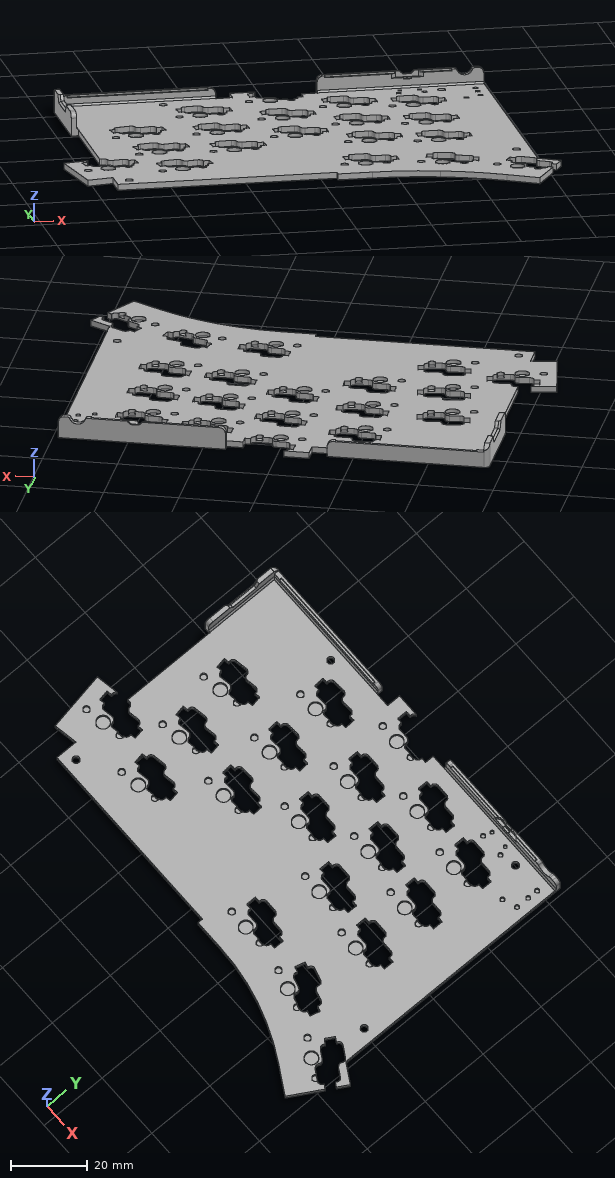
import cadquery as cq
import math

overall_length = 128.3
plate_thickness = 1.7
plate_left, plate_right = -54.2, 58.6
plate_front, plate_back = -31.8, 43.2

key_pitch = 17.0
cell_half_width = 9.1
cell_half_depth = 8.7
rows_per_column = 3

column_middles = [
    (-37.5, -3.8, 10.0),
    (-19.0, 11.4, 4.0),
    (0.5, 21.7, 0.0),
    (18.6, 13.2, 0.0),
    (36.6, 10.4, 0.0),
]

thumb_straight = (13.5, -24.6, 0.0)
thumb_middle = (33.5, -27.3, -15.0)
thumb_outer = (52.0, -35.0, -30.0)

blind_depth = 1.0
stem_diameter = 3.8
pin_diameter = 1.9
pin_offset = 5.6

socket_centre = (2.3, 4.6)
lobe_depth = 6.0
lobe_shift_y = 1.2
lobe_outer = 5.4
lobe_inner = 0.4
lobe_corner = 1.13
slot_reach = 6.9
slot_depth = 3.0

mount_diameter = 2.0
mount_points = [(-27.7, 40.0), (46.6, 40.0), (54.8, -19.2), (-50.4, -28.4)]
small_pin_diameter = 1.0
small_pin_points = [(35.7, 41.3), (40.9, 41.3)]
medium_pin_diameter = 1.3
medium_pin_points = [
    (34.9, 38.9),
    (41.8, 38.9),
    (55.5, 39.8),
    (55.5, 36.7),
    (55.5, 32.8),
    (51.5, 31.3),
]

wall_thickness = 1.4
foot = 0.5
wall_end_radius = 1.5
corner_radius = 1.3
corner_slope = 1.5
lip_thickness = 0.8
rebate_depth = 0.5
rebate_inset = 2.0
wall_left = plate_left - foot - wall_thickness
wall_back = plate_back + foot + wall_thickness

side_height = 6.4
side_front = 21.0
side_notch_back, side_notch_front = 38.5, 28.4
side_notch_slope = 1.0
side_notch_floor = 4.9
side_notch_bevel = 0.5

low_height = 4.4
low_right = -13.0

high_height = 6.0
high_left = 14.1
cable_notch_x = 53.5
cable_notch_diameter = 4.4
cable_notch_round = 0.6
cable_notch_floor = 4.2
rebate_right = 50.0
recess_left, recess_right = 34.0, 42.5
recess_floor = 4.4
recess_taper = 1.2
recess_lip = 0.5
vee_x = 38.2
vee_top_half, vee_floor_half = 2.0, 1.0
vee_depth = 0.9
dip_depth = 0.4


def in_cell(key, u, v):
    """Point (u, v) of a key's own frame, in plate coordinates."""
    x, y, turn = key
    angle = math.radians(turn)
    return (
        x + u * math.cos(angle) - v * math.sin(angle),
        y + u * math.sin(angle) + v * math.cos(angle),
    )


def column_keys(middle):
    """The keys of one column, from back to front."""
    turn = middle[2]
    steps = [(rows_per_column - 1) / 2 - row for row in range(rows_per_column)]
    return [in_cell(middle, 0, step * key_pitch) + (turn,) for step in steps]


def box(x0, x1, y0, y1, z0, z1):
    return cq.Workplane("XY").box(x1 - x0, y1 - y0, z1 - z0, centered=False).translate((x0, y0, z0))


def place(solid, key):
    x, y, turn = key
    return solid.rotate((0, 0, 0), (0, 0, 1), turn).translate((x, y, 0))


pinky_turn = column_middles[0][2]
right_end = in_cell(thumb_outer, cell_half_width, cell_half_depth)[0]
tab_reach = in_cell((0, 0, pinky_turn), -cell_half_width, cell_half_depth)[0]
pinky_outer = (right_end - overall_length - tab_reach, -16.3, pinky_turn)

column_key_list = [key for middle in column_middles for key in column_keys(middle)]
thumb_keys = [thumb_straight, thumb_middle, thumb_outer]
keys = column_key_list + thumb_keys + [pinky_outer]
back_key = column_keys(column_middles[2])[0]


def make_plate():
    plate = box(plate_left, plate_right, plate_front, plate_back, 0, plate_thickness)

    pinky_tab = box(-cell_half_width, 0, -cell_half_depth, cell_half_depth, 0, plate_thickness)
    pinky_tab = pinky_tab.union(pinky_tab.translate((cell_half_width / 2, 0, 0)))
    plate = plate.union(place(pinky_tab, pinky_outer))

    back_tab = box(-cell_half_width, 0, 0, cell_half_depth, 0, plate_thickness)
    plate = plate.union(place(back_tab, back_key))

    fan = (
        cq.Workplane("XY")
        .moveTo(*in_cell(thumb_straight, -cell_half_width, 0))
        .lineTo(*in_cell(thumb_straight, -cell_half_width, -cell_half_depth))
        .lineTo(*in_cell(thumb_straight, 0, -cell_half_depth))
        .tangentArcPoint(in_cell(thumb_middle, 0, -cell_half_depth), relative=False)
        .tangentArcPoint(in_cell(thumb_outer, 0, -cell_half_depth), relative=False)
        .lineTo(*in_cell(thumb_outer, cell_half_width, -cell_half_depth))
        .lineTo(*in_cell(thumb_outer, cell_half_width, cell_half_depth))
        .lineTo(*in_cell(thumb_outer, 0, cell_half_depth))
        .close()
        .extrude(plate_thickness)
    )
    return plate.union(fan)


def make_socket():
    """Opening for one switch socket, centred on the switch."""
    half = lobe_depth / 2
    left = box(-lobe_outer, lobe_inner, lobe_shift_y - half, lobe_shift_y + half, 0, plate_thickness)
    right = left.rotate((0, 0, 0), (0, 0, 1), 180)
    lobes = left.union(right).edges("|Z").fillet(lobe_corner)
    slot = box(-slot_reach, 0, lobe_shift_y - slot_depth / 2, lobe_shift_y + slot_depth / 2, 0, plate_thickness)
    slots = slot.union(slot.rotate((0, 0, 0), (0, 0, 1), 180))
    return lobes.union(slots).translate((socket_centre[0], socket_centre[1], 0))


def holes(points, diameter, depth):
    """Cylinders sunk from the plate's top face."""
    plane = cq.Workplane("XY").workplane(offset=plate_thickness)
    return plane.pushPoints(points).circle(diameter / 2).extrude(-depth)


def cut_keys(plate):
    socket = make_socket()
    for key in keys:
        plate = plate.cut(place(socket, key))
    stems = [in_cell(key, 0, 0) for key in keys]
    pins = [in_cell(key, side * pin_offset, 0) for key in keys for side in (-1, 1)]
    plate = plate.cut(holes(stems, stem_diameter, blind_depth))
    return plate.cut(holes(pins, pin_diameter, blind_depth))


def prism_along_x(points, x0, x1):
    """Solid with a (y, z) profile, running from x0 to x1."""
    return cq.Workplane("YZ").polyline(points).close().extrude(x1 - x0).translate((x0, 0, 0))


def foot_profile(plate_edge):
    """Foot between the plate's edge and a wall standing at a larger coordinate."""
    return [
        (plate_edge, 0),
        (plate_edge + foot, 0),
        (plate_edge + foot, plate_thickness + foot),
        (plate_edge, plate_thickness),
    ]


def make_side_wall():
    inner_face = wall_left + wall_thickness
    wall = box(wall_left, inner_face, side_front, wall_back, 0, side_height)
    wall = wall.edges("|X and >Z and <Y").fillet(wall_end_radius)
    wall = wall.edges("|Z and <X and >Y").fillet(corner_radius)

    slope = [
        (wall_back - corner_slope, side_height),
        (wall_back, side_height),
        (wall_back, side_height - corner_slope),
    ]
    wall = wall.cut(prism_along_x(slope, wall_left, inner_face))

    notch = [
        (side_notch_back, side_height),
        (side_notch_back - side_notch_slope, side_notch_floor),
        (side_notch_front + side_notch_slope, side_notch_floor),
        (side_notch_front, side_height),
    ]
    wall = wall.cut(prism_along_x(notch, wall_left, inner_face))
    notch_rim = cq.selectors.BoxSelector(
        (wall_left - lip_thickness, side_notch_front, side_notch_floor - rebate_depth),
        (wall_left + lip_thickness, side_notch_back, side_height - rebate_depth),
    )
    wall = wall.faces("<X").edges(notch_rim).chamfer(side_notch_bevel)

    strip = prism_along_x(foot_profile(-plate_left), side_front, plate_back + foot)
    return wall.union(strip.rotate((0, 0, 0), (0, 0, 1), 90))


def cut_rebate(wall, x0, x1, floor):
    """Lower the inner part of a back wall's top, leaving a lip along the outer face."""
    inner_face = wall_back - wall_thickness
    return wall.cut(box(x0, x1, inner_face, wall_back - lip_thickness, floor, side_height))


def make_low_wall():
    inner_face = wall_back - wall_thickness
    left = plate_left - foot
    wall = box(left, low_right, inner_face, wall_back, 0, low_height)
    wall = wall.edges("|Y and >Z and >X").fillet(wall_end_radius)
    wall = cut_rebate(wall, left + rebate_inset, low_right - rebate_inset, low_height - rebate_depth)
    return wall.union(prism_along_x(foot_profile(plate_back), left, low_right))


def cut_through_back(points):
    """Solid with an (x, z) profile, deep enough to cut through a back wall."""
    return cq.Workplane("XZ").polyline(points).close().extrude(-wall_thickness).translate(
        (0, wall_back - wall_thickness, 0)
    )


def make_high_wall():
    inner_face = wall_back - wall_thickness
    wall = box(high_left, plate_right, inner_face, wall_back, 0, high_height)
    wall = wall.edges("|Y and >Z").fillet(wall_end_radius)
    wall = cut_rebate(wall, high_left + rebate_inset, rebate_right, high_height - rebate_depth)

    recess = [
        (recess_left, inner_face),
        (recess_right, inner_face),
        (recess_right - recess_taper, wall_back - recess_lip),
        (recess_left + recess_taper, wall_back - recess_lip),
    ]
    recess_cutter = cq.Workplane("XY").polyline(recess).close().extrude(side_height)
    wall = wall.cut(recess_cutter.translate((0, 0, recess_floor)))

    vee_floor = high_height - vee_depth
    vee = [
        (vee_x - vee_top_half, high_height),
        (vee_x - vee_floor_half, vee_floor),
        (vee_x + vee_floor_half, vee_floor),
        (vee_x + vee_top_half, high_height),
    ]
    wall = wall.cut(cut_through_back(vee))
    dip_left, dip_right = vee_x - vee_floor_half, vee_x + vee_floor_half
    wall = cut_rebate(wall, dip_left, dip_right, recess_floor - dip_depth)

    radius = cable_notch_diameter / 2
    notch = (
        cq.Workplane("XZ")
        .center(cable_notch_x, cable_notch_floor + radius)
        .circle(radius)
        .extrude(-wall_thickness)
        .translate((0, inner_face, 0))
    )
    mouth = cq.selectors.BoxSelector(
        (cable_notch_x - radius, inner_face, high_height - cable_notch_round),
        (cable_notch_x + radius, wall_back, high_height + cable_notch_round),
    )
    wall = wall.cut(notch).edges("|Y").edges(mouth).fillet(cable_notch_round)
    return wall.union(prism_along_x(foot_profile(plate_back), high_left, plate_right))


result = cut_keys(make_plate())
result = result.union(make_side_wall()).union(make_low_wall()).union(make_high_wall())
result = result.cut(holes(mount_points, mount_diameter, plate_thickness))
result = result.cut(holes(small_pin_points, small_pin_diameter, blind_depth))
result = result.cut(holes(medium_pin_points, medium_pin_diameter, blind_depth))